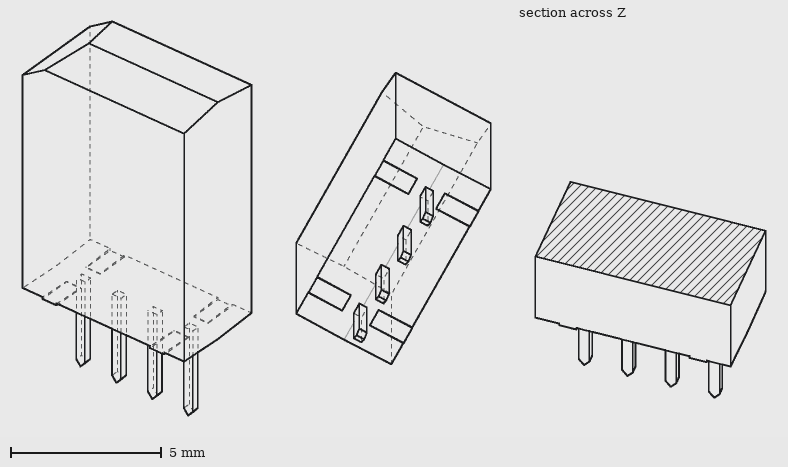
import cadquery as cq

total_height = 13.11
body_length = 6.85
body_width = 3.6

pin_reach = 3.51
body_height = total_height - pin_reach
ridge_rise = 0.29
keel_drop = 0.08
half_width = body_width / 2

corner_run = 1.39
corner_drop = 0.9

pin_count = 4
pin_pitch = 1.52
first_pin_x = -2.28
pin_width = 0.38
pin_thickness = 0.29
pin_tip_height = 0.24
pin_embed = 0.26

foot_length = 0.6
foot_height = 0.15
foot_y_gap = 1.05


def make_body():
    eaves_z = body_height - ridge_rise
    profile = [
        (-half_width, keel_drop),
        (0, 0),
        (half_width, keel_drop),
        (half_width, eaves_z),
        (0, body_height),
        (-half_width, eaves_z),
    ]
    body = (
        cq.Workplane("YZ", origin=(-body_length / 2, 0, 0))
        .polyline(profile).close().extrude(body_length)
    )
    corner = (
        cq.Workplane("XZ", origin=(-body_length / 2, 0, body_height))
        .polyline([(0, -corner_drop), (corner_run, 0), (0, 0)]).close()
        .extrude(half_width, both=True)
    )
    return body.cut(corner)


def make_pin(x):
    half_pin = pin_width / 2
    profile = [
        (-half_pin, pin_embed),
        (-half_pin, pin_tip_height - pin_reach),
        (0, -pin_reach),
        (half_pin, pin_tip_height - pin_reach),
        (half_pin, pin_embed),
    ]
    return (
        cq.Workplane("XZ", origin=(x, 0, 0))
        .polyline(profile).close().extrude(pin_thickness / 2, both=True)
    )


def make_foot(x, side):
    foot_width = half_width - foot_y_gap / 2
    y = side * (foot_y_gap + foot_width) / 2
    return cq.Workplane("XY", origin=(x, y, 0)).rect(foot_length, foot_width).extrude(foot_height)


pin_places = [first_pin_x + i * pin_pitch for i in range(pin_count)]

result = make_body()
for pin_x in pin_places:
    result = result.union(make_pin(pin_x))
for foot_x in (pin_places[0], pin_places[-1]):
    for foot_side in (-1, 1):
        result = result.union(make_foot(foot_x, foot_side))